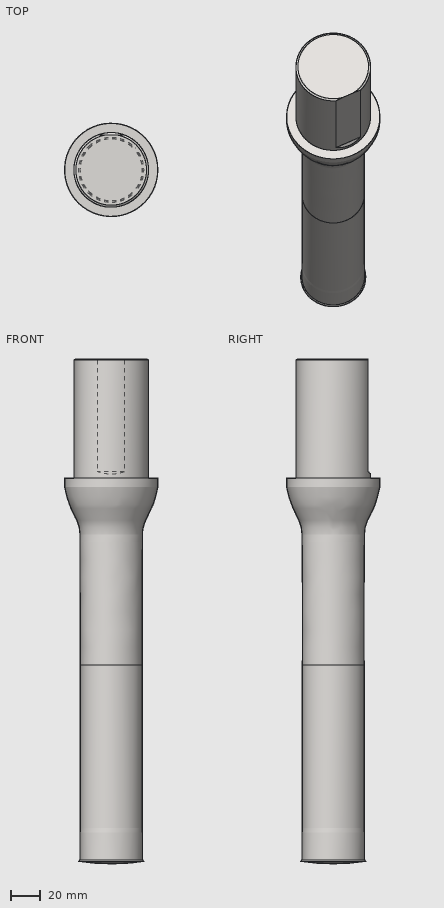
import cadquery as cq
import math

total_height = 337.0
collar_top = 257.5
collar_height = 6.0
collar_bottom = collar_top - collar_height
flare_middle = 235.2
neck_start = 226.8
neck_end = 219.7
taper_top = 214.5
joint_height = 132.8
land_top = 24.0
land_bottom = 21.0
lip_top = 2.7
lip_height = 1.7

shank_diameter = 50.0
collar_diameter = 62.5
flare_middle_diameter = 52.0
waist_diameter = 44.0
neck_diameter = 41.8
stem_diameter = 41.5
lip_diameter = 43.5

flare_end_angle = math.radians(12)

shank_chamfer_width = 1.5
shank_chamfer_height = 0.7
flat_distance = 23.3
flat_bottom = 262.0


def make_holder():
    """Revolved holder: shank, collar, curved flare and tapered upper part of the stem."""
    shank_radius = shank_diameter / 2
    flare_points = [
        (waist_diameter / 2, neck_start),
        (flare_middle_diameter / 2, flare_middle),
        (collar_diameter / 2, collar_bottom),
    ]
    flare_end_direction = (math.sin(flare_end_angle), math.cos(flare_end_angle))
    profile = (
        cq.Workplane("XZ")
        .moveTo(0, joint_height)
        .lineTo(stem_diameter / 2, joint_height)
        .lineTo(neck_diameter / 2, taper_top)
        .lineTo(neck_diameter / 2, neck_end)
        .spline(flare_points, tangents=[(0, 1), flare_end_direction], includeCurrent=True)
        .lineTo(collar_diameter / 2, collar_top)
        .lineTo(shank_radius, collar_top)
        .lineTo(shank_radius, total_height - shank_chamfer_height)
        .lineTo(shank_radius - shank_chamfer_width, total_height)
        .lineTo(0, total_height)
        .close()
    )
    return profile.revolve(360, (0, 0, 0), (0, 1, 0)).cut(make_flat_cutter())


def make_flat_cutter():
    """Cutter for the +Y flat, ending in a 45 degree ramp just above the collar."""
    cutter_depth = shank_diameter / 2 - flat_distance
    outer_y = flat_distance + 2 * cutter_depth
    return (
        cq.Workplane("YZ")
        .moveTo(flat_distance, flat_bottom)
        .lineTo(outer_y, flat_bottom - 2 * cutter_depth)
        .lineTo(outer_y, total_height)
        .lineTo(flat_distance, total_height)
        .close()
        .extrude(shank_diameter / 2, both=True)
    )


def make_tool():
    """Revolved lower stem with its land, sharp conical end lip and shallow domed end."""
    lip_radius = lip_diameter / 2
    dome_radius = (lip_radius**2 + lip_height**2) / (2 * lip_height)
    dome_middle_radius = lip_radius / 2
    dome_middle_height = dome_radius - math.sqrt(dome_radius**2 - dome_middle_radius**2)
    profile = (
        cq.Workplane("XZ")
        .moveTo(0, 0)
        .threePointArc((dome_middle_radius, dome_middle_height), (lip_radius, lip_height))
        .lineTo(neck_diameter / 2, lip_top)
        .lineTo(neck_diameter / 2, land_bottom)
        .lineTo(stem_diameter / 2, land_top)
        .lineTo(stem_diameter / 2, joint_height)
        .lineTo(0, joint_height)
        .close()
    )
    return profile.revolve(360, (0, 0, 0), (0, 1, 0))


holder = make_holder()
tool = make_tool()
result = cq.Compound.makeCompound([holder.val(), tool.val()])